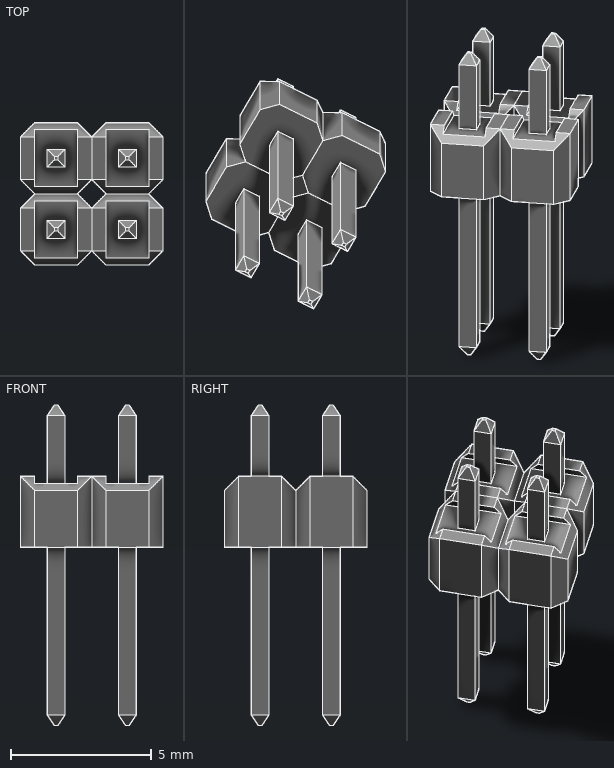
import cadquery as cq

pitch = 2.54
columns = 2
rows = 2

cell_height = pitch
corner_chamfer = pitch / 5
flat_width = pitch - 2 * corner_chamfer
groove_depth = corner_chamfer / 2

pin_width = 0.635
pin_length_below = 6.35
pin_length_above = 2.54
tip_length = 0.381
tip_width = 0.127

pin_bottom = -pin_length_below
pin_top = cell_height + pin_length_above
shank_bottom = pin_bottom + tip_length
shank_top = pin_top - tip_length


def make_housing_cell():
    """Octagonal block with sloped top edges, a groove along Y and a square pin hole."""
    block = cq.Workplane("XY").box(pitch, pitch, cell_height, centered=(True, True, False))
    block = block.edges("|Z").chamfer(corner_chamfer)

    roof = (
        cq.Workplane("YZ")
        .moveTo(-pitch / 2, 0)
        .lineTo(pitch / 2, 0)
        .lineTo(pitch / 2, cell_height - corner_chamfer)
        .lineTo(flat_width / 2, cell_height)
        .lineTo(-flat_width / 2, cell_height)
        .lineTo(-pitch / 2, cell_height - corner_chamfer)
        .close()
        .extrude(pitch / 2, both=True)
    )

    groove = (
        cq.Workplane("XY", origin=(0, 0, cell_height - groove_depth))
        .box(flat_width, pitch, groove_depth, centered=(True, True, False))
    )
    pin_hole = cq.Workplane("XY").rect(pin_width, pin_width).extrude(cell_height)
    return block.intersect(roof).cut(groove).cut(pin_hole)


def make_pin_tip(base_z, end_z):
    """Blunt pyramid narrowing from the pin width at base_z to the tip width at end_z."""
    return (
        cq.Workplane("XY", origin=(0, 0, base_z))
        .rect(pin_width, pin_width)
        .workplane(offset=end_z - base_z)
        .rect(tip_width, tip_width)
        .loft(ruled=True)
    )


def make_pin():
    """Straight square pin with a blunt point at both ends."""
    shank = (
        cq.Workplane("XY", origin=(0, 0, shank_bottom))
        .rect(pin_width, pin_width)
        .extrude(shank_top - shank_bottom)
    )
    upper_tip = make_pin_tip(shank_top, pin_top)
    lower_tip = make_pin_tip(shank_bottom, pin_bottom)
    return shank.union(upper_tip).union(lower_tip)


housing_cell = make_housing_cell()
pin = make_pin()
bodies = []
for column in range(columns):
    for row in range(rows):
        x = (column - (columns - 1) / 2) * pitch
        y = (row - (rows - 1) / 2) * pitch
        bodies.append(housing_cell.translate((x, y, 0)).val())
        bodies.append(pin.translate((x, y, 0)).val())

result = cq.Compound.makeCompound(bodies)